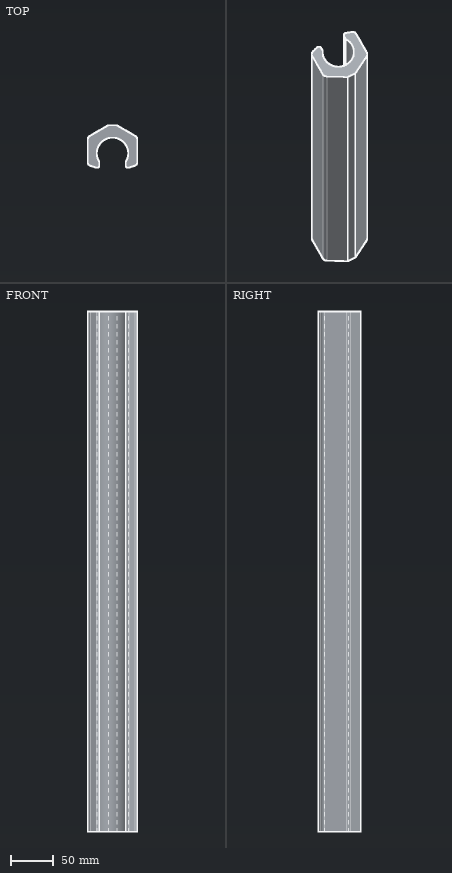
import cadquery as cq
import math

width = 58.5
depth = 50.0
length = 609.5
half_width = width / 2

roof_angle = math.radians(30)
ridge_width = 10.5
shoulder_radius = 5.5
shoulder_y = depth - (half_width - ridge_width / 2) * math.tan(roof_angle)

bore_radius = 18.0
bore_center_y = 17.0
mouth_width = 30.5

lip_inner_radius = 3.0
lip_outer_radius = 5.0
underside_angle = math.radians(18)
edge_center_x = mouth_width / 2 + lip_inner_radius
tangent_x = edge_center_x + lip_inner_radius * math.sin(underside_angle)
tangent_y = lip_inner_radius * (1 - math.cos(underside_angle))
underside_slope = math.tan(underside_angle)


def underside_y(x):
    """Height of the sloping underside at distance x from the middle."""
    return tangent_y + (x - tangent_x) * underside_slope


def edge_at(x, y):
    """Selector for the lengthwise edge passing through (x, y)."""
    return cq.selectors.NearestToPointSelector((x, y, length / 2))


def make_body():
    """Solid bar with a gabled top and an underside sloping up to both sides."""
    lip_y = underside_y(half_width)
    body = (
        cq.Workplane("XY")
        .polyline([
            (0, underside_y(0)),
            (half_width, lip_y),
            (half_width, shoulder_y),
            (ridge_width / 2, depth),
            (-ridge_width / 2, depth),
            (-half_width, shoulder_y),
            (-half_width, lip_y),
        ])
        .close()
        .extrude(length)
    )
    for side in (-1, 1):
        body = body.edges(edge_at(side * half_width, shoulder_y)).fillet(shoulder_radius)
        body = body.edges(edge_at(side * half_width, lip_y)).fillet(lip_outer_radius)
    return body


def cut_channel(body):
    """Cut the bore and its mouth, then round the inner edges of the lips."""
    bore = cq.Workplane("XY").center(0, bore_center_y).circle(bore_radius).extrude(length)
    mouth = (
        cq.Workplane("XY")
        .rect(mouth_width, 2 * bore_center_y)
        .extrude(length)
    )
    body = body.cut(bore.union(mouth))
    lip_x = mouth_width / 2
    for side in (-1, 1):
        body = body.edges(edge_at(side * lip_x, underside_y(lip_x))).fillet(lip_inner_radius)
    return body


result = cut_channel(make_body())